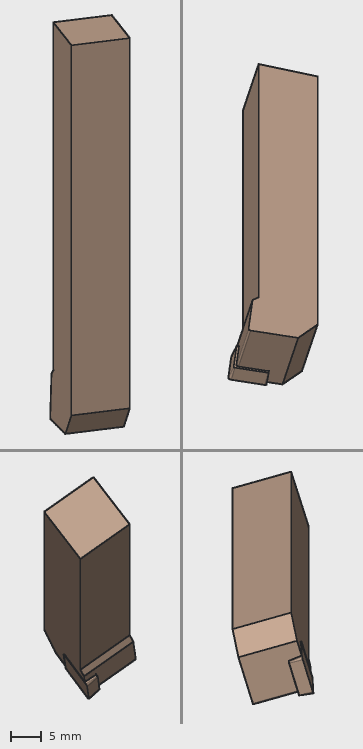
import cadquery as cq
import math

tool_length = 71.35
tool_width = 12.35
shank_size = 9.9

relief_angle = 5.0
nose_x = 0.7
nose_z = 0.8
nose_radius = 0.3
shoulder_z = 9.0
neck_z = 10.0
heel_x = 9.05
heel_top_z = 6.15

insert_side = 6.5
insert_thickness = 2.35
insert_proud = 0.1
insert_corner_radius = 0.4
clearance_angle = 7.0

lean = math.tan(math.radians(relief_angle))


def make_holder_blank():
    shank_left = tool_width - shank_size
    outline = [
        (nose_x, nose_z),
        (heel_x, nose_z + (heel_x - nose_x) * lean),
        (tool_width, heel_top_z),
        (tool_width, tool_length),
        (shank_left, tool_length),
        (shank_left, neck_z),
        (nose_x + (shoulder_z - nose_z) * lean, shoulder_z),
    ]
    blank = cq.Workplane("XZ").polyline(outline).close().extrude(-shank_size)
    nose_edge = cq.selectors.NearestToPointSelector((nose_x, shank_size / 2, nose_z))
    return blank.edges(nose_edge).fillet(nose_radius)


def make_insert():
    """Rhombus with rounded corners, tapering from its outer face down to its seat."""
    along = insert_side * math.cos(math.radians(relief_angle))
    across = insert_side * math.sin(math.radians(relief_angle))

    half_corner = math.radians(45 - relief_angle)
    center_distance = insert_corner_radius / math.sin(half_corner)
    corner = insert_corner_radius - center_distance * math.cos(math.radians(45))

    outline = [
        (corner, corner),
        (corner + along, corner + across),
        (corner + along + across, corner + along + across),
        (corner + across, corner + along),
    ]
    rhombus = cq.Sketch().polygon(outline + outline[:1]).vertices().fillet(insert_corner_radius)
    outer_face = cq.Workplane("XZ", origin=(0, shank_size + insert_proud, 0))
    return outer_face.placeSketch(rhombus).extrude(insert_thickness, taper=clearance_angle)


insert = make_insert()

holder = make_holder_blank().cut(insert)

result = cq.Compound.makeCompound([holder.val(), insert.val()])